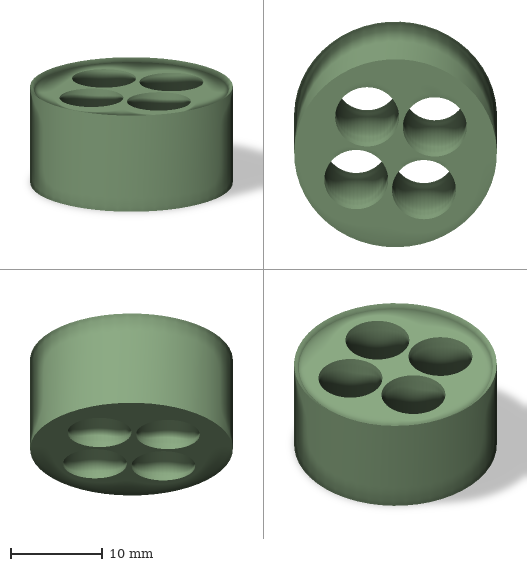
import cadquery as cq

outer_diameter = 22.2
height = 11.0
floor_diameter = 21.18
recess_depth = 0.4
hole_diameter = 7.0
hole_center_radius = 5.3
hole_count = 4

outer_radius = outer_diameter / 2
floor_radius = floor_diameter / 2
floor_height = height - recess_depth

body_profile = (
    cq.Workplane("XZ")
    .moveTo(0, 0)
    .lineTo(outer_radius, 0)
    .lineTo(outer_radius, height)
    .lineTo(floor_radius, floor_height)
    .lineTo(0, floor_height)
    .close()
)
body = body_profile.revolve(360, (0, 0, 0), (0, 1, 0))

holes = (
    cq.Workplane("XY")
    .polarArray(hole_center_radius, 0, 360, hole_count)
    .circle(hole_diameter / 2)
    .extrude(height)
)

result = body.cut(holes)